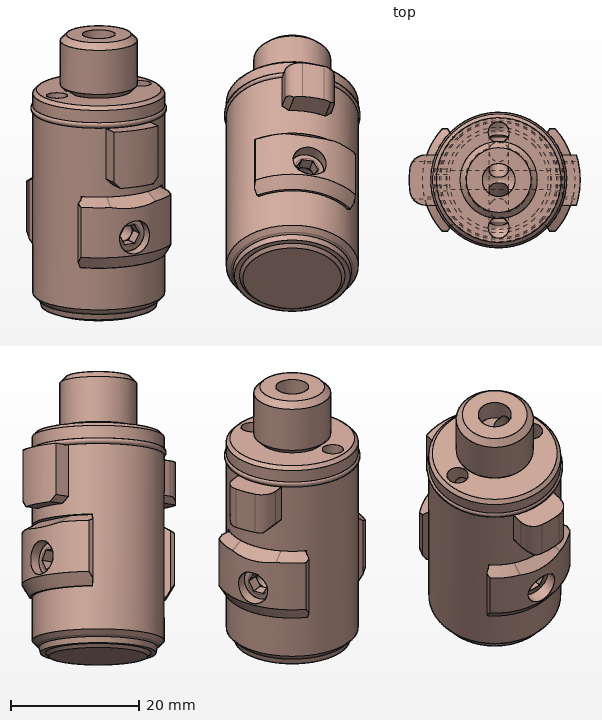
import cadquery as cq
import math

body_radius = 10.3
shoulder_z = 35.25
shoulder_chamfer = 0.57
lower_chamfer_z = 2.48
lower_chamfer = 0.8
taper_top_radius = 9.25
taper_top_z = 1.45
taper_bottom_radius = 9.0
base_step_z = 0.55
base_step_radius = 8.2

total_height = 44.2
knob_radius = 6.0
knob_top_chamfer = 0.97
knob_bottom_chamfer = 0.85

bore_radius = 2.55
bore_tip_z = 39.1
drill_point_slope = math.tan(math.radians(31))

port_radius = 1.65
port_offset = 7.43
port_tip_z = 30.6

link_radius = 1.5
link_z = 31.82
link_straight_y = 6.67

passage_radius = 1.5
passage_angle = 60.0
passage_axis_z = 43.23

ring_wire_radius = 0.5
ring_outer_diameter = 21.15
ring_z = 32.25

upper_lug_top_z = 31.8
upper_lug_width = 7.85
upper_lug_chamfer = 1.0
left_lug_radius = 13.95
left_lug_bottom_z = 25.15
left_lug_corner_radius = 2.5
right_lug_radius = 12.75
right_lug_bottom_z = 22.65

lower_lug_radius = 11.9
lower_lug_bottom_z = 9.3
lower_lug_bottom_radius = 10.65
lower_lug_bevel_z = 11.3
lower_lug_half_width = 8.0
lower_lug_side_x = 7.95
lug_root_x = 6.8
lug_root_y = 6.28

relief_top_z = 20.7
relief_slope = math.tan(math.radians(30))
relief_cone_z = 19.4
relief_plane_z = 19.0
relief_reach = 14.15

cross_hole_z = 14.25
counterbore_radius = 2.65
counterbore_depth = 2.0
floor_rise = 0.15
land_radius = 1.85
hex_across_flats = 3.0
socket_depth = 2.0
through_radius = 1.5



def revolved(profile):
    """Solid of revolution about Z from (radius, z) points."""
    return cq.Workplane("XZ").polyline(profile).close().revolve(360, (0, 0, 0), (0, 1, 0))


def make_core():
    knob_base_radius = knob_radius - knob_bottom_chamfer
    return revolved([
        (0, 0),
        (base_step_radius - base_step_z, 0),
        (base_step_radius, base_step_z),
        (taper_bottom_radius, base_step_z),
        (taper_top_radius, taper_top_z),
        (body_radius - lower_chamfer, lower_chamfer_z - lower_chamfer),
        (body_radius, lower_chamfer_z),
        (body_radius, shoulder_z - shoulder_chamfer),
        (body_radius - shoulder_chamfer, shoulder_z),
        (knob_base_radius, shoulder_z),
        (knob_radius, shoulder_z + knob_bottom_chamfer),
        (knob_radius, total_height - knob_top_chamfer),
        (knob_radius - knob_top_chamfer, total_height),
        (0, total_height),
    ])


def make_upper_lug(side, outer_radius, bottom_z):
    """Lug on the +X (side = 1) or -X (side = -1) flank, with its lower side edges chamfered."""
    height = upper_lug_top_z - bottom_z
    half_width = upper_lug_width / 2
    bar = (
        cq.Workplane("XY", origin=(side * outer_radius / 2, 0, bottom_z))
        .rect(outer_radius, upper_lug_width)
        .extrude(height)
    )
    rounded_end = cq.Workplane("XY", origin=(0, 0, bottom_z)).circle(outer_radius).extrude(height)
    lug = bar.intersect(rounded_end)
    if side < 0:
        corner_x = side * math.sqrt(outer_radius**2 - half_width**2)
        for corner_y in (-half_width, half_width):
            corner = cq.selectors.NearestToPointSelector((corner_x, corner_y, bottom_z + height / 2))
            lug = lug.edges("|Z").edges(corner).fillet(left_lug_corner_radius)
    chamfered_bar = (
        cq.Workplane("YZ")
        .moveTo(-half_width, upper_lug_top_z)
        .lineTo(-half_width, bottom_z + upper_lug_chamfer)
        .lineTo(-half_width + upper_lug_chamfer, bottom_z)
        .lineTo(half_width - upper_lug_chamfer, bottom_z)
        .lineTo(half_width, bottom_z + upper_lug_chamfer)
        .lineTo(half_width, upper_lug_top_z)
        .close()
        .extrude(side * outer_radius)
    )
    return lug.intersect(chamfered_bar)


def make_lower_lug_sector(side):
    """Tall prism whose plan outline bounds a lower lug and the relief above it."""
    half_plan = [
        (lug_root_x, lug_root_y),
        (lower_lug_side_x, lower_lug_half_width),
        (relief_reach, lower_lug_half_width),
    ]
    plan = half_plan + [(x, -y) for x, y in reversed(half_plan)]
    return cq.Workplane("XY").polyline([(side * x, y) for x, y in plan]).close().extrude(relief_top_z)


def make_lower_lug(side):
    disc = revolved([
        (0, lower_lug_bottom_z),
        (lower_lug_bottom_radius, lower_lug_bottom_z),
        (lower_lug_radius, lower_lug_bevel_z),
        (lower_lug_radius, relief_top_z),
        (0, relief_top_z),
    ])
    return disc.intersect(make_lower_lug_sector(side))


def relief_profile(height_at_lug_radius):
    """Triangle under the relief ceiling, with its lower side at the relief slope."""
    inner = lower_lug_radius - (relief_top_z - height_at_lug_radius) / relief_slope
    outer_z = height_at_lug_radius - (relief_reach - lower_lug_radius) * relief_slope
    return [(inner, relief_top_z), (relief_reach, relief_top_z), (relief_reach, outer_z)]


def make_relief(side):
    """Conical relief along the lug, deepened in the middle by a slanted plane."""
    cone = revolved(relief_profile(relief_cone_z))
    ramp_profile = [(side * x, z) for x, z in relief_profile(relief_plane_z)]
    ramp = cq.Workplane("XZ").polyline(ramp_profile).close().extrude(lower_lug_half_width, both=True)
    return cone.union(ramp).intersect(make_lower_lug_sector(side))


def make_drilled_hole(radius, tip_z, top_z):
    return revolved([(0, tip_z), (radius, tip_z + radius * drill_point_slope), (radius, top_z), (0, top_z)])


def make_passage(side):
    """Slanted cylinder from the main axis toward the given Y side, ending level with the shoulder."""
    angle = math.radians(passage_angle)
    direction = cq.Vector(0, side * math.cos(angle), -math.sin(angle))
    start = cq.Vector(0, 0, passage_axis_z)
    slanted = cq.Workplane(cq.Solid.makeCylinder(passage_radius, total_height, start, direction))
    above_shoulder = (
        cq.Workplane("XY", origin=(0, 0, shoulder_z)).circle(body_radius).extrude(total_height - shoulder_z)
    )
    return slanted.intersect(above_shoulder)


def make_link():
    tip_y = link_straight_y + link_radius * drill_point_slope
    profile = [(-tip_y, 0), (-link_straight_y, link_radius), (link_straight_y, link_radius), (tip_y, 0)]
    link = cq.Workplane("YZ").polyline(profile).close().revolve(360, (0, 0, 0), (1, 0, 0))
    return link.translate((0, 0, link_z))


def make_cross_hole():
    """Round through hole with a hexagonal socket and a counterbore with a raised floor at each end."""
    corner_diameter = hex_across_flats / math.cos(math.pi / 6)
    floor_x = lower_lug_radius - counterbore_depth
    land_x = floor_x + floor_rise
    counterbore_profile = [
        (lower_lug_radius, 0),
        (lower_lug_radius, counterbore_radius),
        (floor_x, counterbore_radius),
        (land_x, land_radius),
        (land_x, 0),
    ]
    hole = cq.Workplane("YZ").circle(through_radius).extrude(lower_lug_radius, both=True)
    for side in (-1, 1):
        profile = [(side * x, y) for x, y in counterbore_profile]
        counterbore = cq.Workplane("XY").polyline(profile).close().revolve(360, (0, 0, 0), (1, 0, 0))
        socket_mouth = cq.Workplane("YZ", origin=(side * land_x, 0, 0))
        socket = socket_mouth.polygon(6, corner_diameter).extrude(-side * socket_depth)
        hole = hole.union(counterbore).union(socket)
    return hole.translate((0, 0, cross_hole_z))


def make_ring():
    wire_center_radius = ring_outer_diameter / 2 - ring_wire_radius
    return cq.Workplane(cq.Solid.makeTorus(wire_center_radius, ring_wire_radius, cq.Vector(0, 0, ring_z)))


def make_body():
    body = make_core()
    body = body.union(make_upper_lug(-1, left_lug_radius, left_lug_bottom_z))
    body = body.union(make_upper_lug(1, right_lug_radius, right_lug_bottom_z))
    for side in (-1, 1):
        body = body.union(make_lower_lug(side)).cut(make_relief(side))
    body = body.cut(make_drilled_hole(bore_radius, bore_tip_z, total_height))
    for side in (-1, 1):
        port = make_drilled_hole(port_radius, port_tip_z, shoulder_z)
        body = body.cut(port.translate((0, side * port_offset, 0))).cut(make_passage(side))
    body = body.cut(make_link())
    return body.cut(make_cross_hole()).cut(make_ring())


body = make_body()
o_ring = make_ring()

result = cq.Compound.makeCompound([body.solids().val(), o_ring.val()])